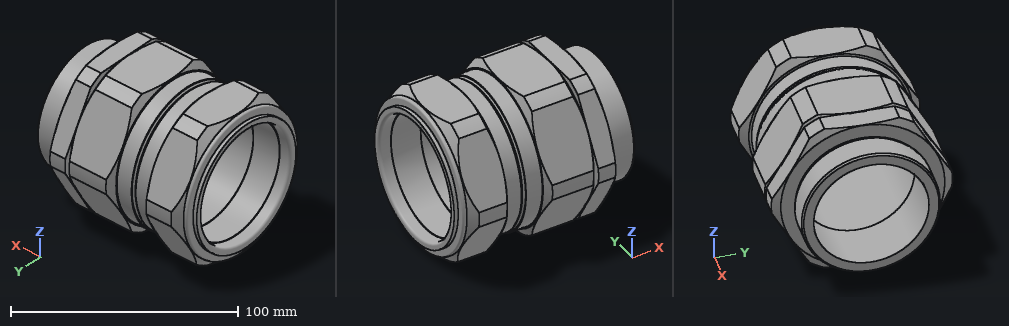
import cadquery as cq
import math

length = 95.0

flat_radius = 37.5
corner_radius = 41.2
chamfer_radius = 37.3
hex_chamfer_length = 2.5
sealing_nut_tilt = 0.5

lip_radius = 33.25
nut_start = 2.1
nut_edge_fillet = 0.95
nut_collar_end = 4.1
nut_end = 25.0

front_ring_radius = 36.1
rear_ring_radius = 36.7
rear_ring_edge_radius = 36.2
ring_groove_radius = 35.15
front_ring_end = 33.1
ring_groove_start = 33.9
ring_groove_end = 34.2
rear_ring_start = 35.15

body_start = 43.5
body_end = 69.8
shoulder_end = 80.2
shoulder_chamfer_length = 1.5

spigot_radius = 31.5
relief_radius = 30.8
relief_end = 81.0
spigot_start = 82.2
spigot_end_radius = 30.8
spigot_chamfer_length = 0.95

mouth_radius = 31.2
bore_radius = 29.7
sleeve_radius = 29.45
sleeve_start = 6.3
sleeve_end = 21.7
bore_end = body_end
through_radius = 26.2


def turned(profile):
    """Close an outline of (x, radius) along the X axis and revolve it about that axis."""
    return profile.close().revolve(360, (0, 0, 0), (1, 0, 0))


def turned_points(points):
    """Revolve a straight-sided outline of (x, radius) about the X axis."""
    return turned(cq.Workplane("XY").polyline(points))


def hexagon(start, end, tilt=0.0):
    """Hexagonal bar along X with two flats facing +Z and -Z, turned by tilt in degrees about X."""
    across_corners = 2 * flat_radius / math.cos(math.pi / 6)
    bar = cq.Workplane("YZ").polygon(6, across_corners).extrude(end - start)
    return bar.translate((start, 0, 0)).rotate((0, 0, 0), (1, 0, 0), tilt)


def make_sealing_nut():
    cone_rise = corner_radius - chamfer_radius
    envelope = turned(
        cq.Workplane("XY")
        .moveTo(nut_start, 0)
        .lineTo(nut_start, chamfer_radius - nut_edge_fillet)
        .radiusArc((nut_start + nut_edge_fillet, chamfer_radius), nut_edge_fillet)
        .lineTo(nut_collar_end, chamfer_radius)
        .lineTo(nut_collar_end + cone_rise, corner_radius)
        .lineTo(nut_end - hex_chamfer_length, corner_radius)
        .lineTo(nut_end, chamfer_radius)
        .lineTo(nut_end, 0)
    )
    return hexagon(nut_start, nut_end, sealing_nut_tilt).intersect(envelope)


def make_body_hexagon():
    envelope = turned_points([
        (body_start, 0),
        (body_start, chamfer_radius),
        (body_start + hex_chamfer_length, corner_radius),
        (body_end - hex_chamfer_length, corner_radius),
        (body_end, chamfer_radius),
        (body_end, 0),
    ])
    return hexagon(body_start, body_end).intersect(envelope)


def make_shoulder():
    envelope = turned_points([
        (body_end, 0),
        (body_end, corner_radius),
        (shoulder_end - shoulder_chamfer_length, corner_radius),
        (shoulder_end, chamfer_radius),
        (shoulder_end, 0),
    ])
    return hexagon(body_end, shoulder_end).intersect(envelope)


def make_round_core():
    """Lip, body rings and entry spigot as one turned core through the hexagons."""
    return turned_points([
        (0, 0),
        (0, lip_radius),
        (nut_end, lip_radius),
        (nut_end, front_ring_radius),
        (front_ring_end, front_ring_radius),
        (ring_groove_start, ring_groove_radius),
        (ring_groove_end, ring_groove_radius),
        (rear_ring_start, rear_ring_edge_radius),
        (rear_ring_start, rear_ring_radius),
        (body_start, rear_ring_radius),
        (body_start, relief_radius),
        (relief_end, relief_radius),
        (spigot_start, spigot_radius),
        (length - spigot_chamfer_length, spigot_radius),
        (length, spigot_end_radius),
        (length, 0),
    ])


def make_bore():
    mouth_fillet = mouth_radius - bore_radius
    return turned(
        cq.Workplane("XY")
        .moveTo(0, 0)
        .lineTo(0, mouth_radius)
        .radiusArc((mouth_fillet, bore_radius), -mouth_fillet)
        .lineTo(sleeve_start, bore_radius)
        .lineTo(sleeve_start, sleeve_radius)
        .lineTo(sleeve_end, sleeve_radius)
        .lineTo(sleeve_end, bore_radius)
        .lineTo(bore_end, bore_radius)
        .lineTo(bore_end, through_radius)
        .lineTo(length, through_radius)
        .lineTo(length, 0)
    )


outside = make_round_core()
outside = outside.union(make_sealing_nut())
outside = outside.union(make_body_hexagon())
outside = outside.union(make_shoulder())
result = outside.cut(make_bore())